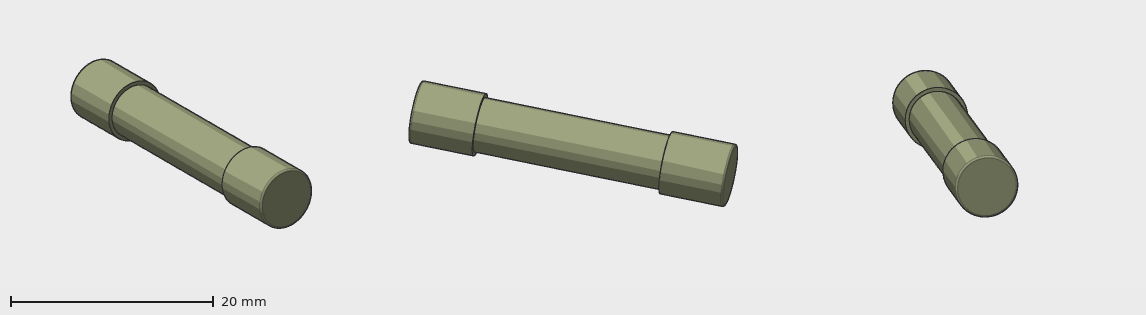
import cadquery as cq

fuse_length = 32.0
cap_diameter = 6.3
cap_length = 6.5
cap_edge_radius = 0.2
barrel_diameter = 5.5

barrel_length = fuse_length - 2 * cap_length


def make_barrel():
    """Round barrel that spans the gap between the inner faces of the two caps."""
    return (
        cq.Workplane("YZ", origin=(-barrel_length / 2, 0, 0))
        .circle(barrel_diameter / 2)
        .extrude(barrel_length)
    )


def make_end_cap(side):
    """End cap at the -X end (side = -1) or the +X end (side = 1), rounded on its outer rim."""
    outer_face = ">X" if side > 0 else "<X"
    return (
        cq.Workplane("YZ", origin=(side * barrel_length / 2, 0, 0))
        .circle(cap_diameter / 2)
        .extrude(side * cap_length)
        .faces(outer_face)
        .edges()
        .fillet(cap_edge_radius)
    )


barrel = make_barrel()
end_caps = [make_end_cap(side) for side in (-1, 1)]

result = cq.Compound.makeCompound([barrel.val(), *[cap.val() for cap in end_caps]])